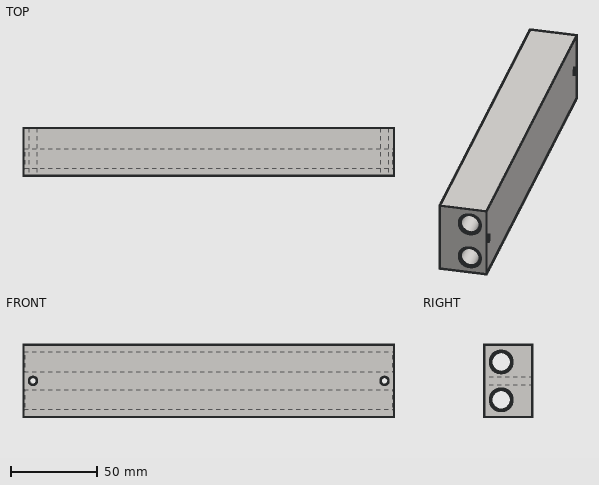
import cadquery as cq

length = 215.0
width = 28.0
height = 42.0

bore_diameter = 11.5
mouth_diameter = 13.1
bore_spacing = 22.0
bore_to_front = 9.9

cross_hole_diameter = 4.5
cross_hole_to_end = 5.5


def lengthwise_bore(y, z):
    """Through bore along X, with a 45 degree chamfer at each end."""
    chamfer = (mouth_diameter - bore_diameter) / 2
    half_profile = [
        (-length / 2, 0),
        (-length / 2, mouth_diameter / 2),
        (-length / 2 + chamfer, bore_diameter / 2),
        (length / 2 - chamfer, bore_diameter / 2),
        (length / 2, mouth_diameter / 2),
        (length / 2, 0),
    ]
    bore = cq.Workplane("XY").polyline(half_profile).close().revolve(360, (0, 0, 0), (1, 0, 0))
    return bore.translate((0, y, z))


result = cq.Workplane("XY").box(length, width, height)

bore_y = -width / 2 + bore_to_front
for bore_z in (-bore_spacing / 2, bore_spacing / 2):
    result = result.cut(lengthwise_bore(bore_y, bore_z))

cross_hole_x = length / 2 - cross_hole_to_end
cross_holes = (
    cq.Workplane("XZ")
    .pushPoints([(-cross_hole_x, 0), (cross_hole_x, 0)])
    .circle(cross_hole_diameter / 2)
    .extrude(width / 2, both=True)
)
result = result.cut(cross_holes)